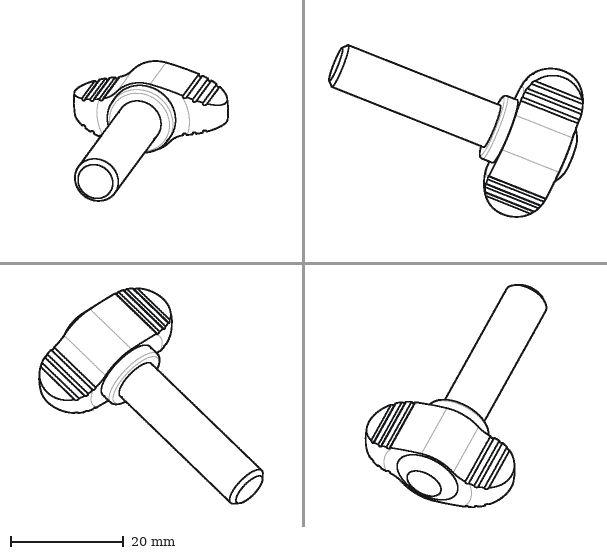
import cadquery as cq
import math


stem_radius = 4.0
stem_length = 30.0
stem_chamfer = 0.8

collar_radius = 6.0
collar_fillet = 0.5
wing_start_y = 2.5
wing_depth = 11.0
wing_end_y = wing_start_y + wing_depth
cap_height = 1.5
cap_base_radius = 5.9
cap_flat_radius = 3.3
cap_arc_bulge = 0.13

tip_radius = 14.0
rim_radius = wing_depth / 2
hub_radius = 6.5
flank_radius = 50.0
flank_start_angle = math.radians(11.0)
tail_angle = math.radians(10.3)
tail_tip_height = 1.55
tail_fillet = 4.5
outline_reach = tip_radius + 1.0

groove_radius = 0.35
groove_count = 3
groove_first_x = 7.67
groove_pitch = 1.73

flank_start = (hub_radius * math.sin(flank_start_angle), hub_radius * math.cos(flank_start_angle))
flank_center_offset = flank_radius - hub_radius
flank_center = (
    -flank_center_offset * math.sin(flank_start_angle),
    -flank_center_offset * math.cos(flank_start_angle),
)


def opposite(point):
    """Turn a point half a revolution about the screw axis."""
    return (-point[0], -point[1])


def flank_point(x):
    """Point of the convex flank above the right wing."""
    return (x, flank_center[1] + math.sqrt(flank_radius**2 - (x - flank_center[0]) ** 2))


def tail_point(x):
    """Point of the straight tail above the left wing."""
    return (x, tail_tip_height + (x + tip_radius) * math.tan(tail_angle))


def arc_middle(center, start, end):
    """Middle of the shorter arc from start to end about center."""
    chord_x = (start[0] + end[0]) / 2 - center[0]
    chord_z = (start[1] + end[1]) / 2 - center[1]
    scale = math.dist(center, start) / math.hypot(chord_x, chord_z)
    return (center[0] + chord_x * scale, center[1] + chord_z * scale)


def tail_fillet_center():
    """Center of the concave arc tangent to both the tail and the hub circle."""
    along = (math.cos(tail_angle), math.sin(tail_angle))
    base_x = -tip_radius - tail_fillet * along[1]
    base_z = tail_tip_height + tail_fillet * along[0]
    projection = base_x * along[0] + base_z * along[1]
    reach = hub_radius + tail_fillet
    distance = -projection - math.sqrt(projection**2 - base_x**2 - base_z**2 + reach**2)
    return (base_x + distance * along[0], base_z + distance * along[1])


def make_wing_prism():
    """Extrude the S-shaped wing outline, made of two equal halves, along the axis."""
    axis = (0.0, 0.0)
    flank_tip = flank_point(outline_reach)
    flank_middle = flank_point((flank_start[0] + outline_reach) / 2)
    fillet_center = tail_fillet_center()
    hub_share = hub_radius / (hub_radius + tail_fillet)
    hub_end = (fillet_center[0] * hub_share, fillet_center[1] * hub_share)
    tail_start = (
        fillet_center[0] + tail_fillet * math.sin(tail_angle),
        fillet_center[1] - tail_fillet * math.cos(tail_angle),
    )
    hub_middle = arc_middle(axis, flank_start, hub_end)
    fillet_middle = arc_middle(fillet_center, hub_end, tail_start)
    tail_tip = tail_point(-outline_reach)

    outline = cq.Workplane("XZ", origin=(0, wing_end_y, 0)).moveTo(*flank_tip)
    for turn in (tuple, opposite):
        outline = (
            outline.threePointArc(turn(flank_middle), turn(flank_start))
            .threePointArc(turn(hub_middle), turn(hub_end))
            .threePointArc(turn(fillet_middle), turn(tail_start))
            .lineTo(*turn(tail_tip))
            .lineTo(*opposite(turn(flank_tip)))
        )
    return outline.close().extrude(wing_depth)


def make_rounded_disc():
    """Disc about the screw axis with a full-round rim, which shapes the wing tips."""
    rim_center_x = tip_radius - rim_radius
    middle_y = wing_start_y + rim_radius
    return (
        cq.Workplane("XY")
        .moveTo(0, wing_start_y)
        .lineTo(rim_center_x, wing_start_y)
        .threePointArc((tip_radius, middle_y), (rim_center_x, wing_end_y))
        .lineTo(0, wing_end_y)
        .close()
        .revolve(360, (0, 0, 0), (0, 1, 0))
    )


def make_grooves():
    """Round cutters along Y, centered on the upper and lower wing surfaces."""
    centers = []
    for index in range(groove_count):
        x = groove_first_x + index * groove_pitch
        for point in (flank_point(x), tail_point(-x)):
            centers += [point, opposite(point)]
    return (
        cq.Workplane("XZ", origin=(0, wing_end_y, 0))
        .pushPoints(centers)
        .circle(groove_radius)
        .extrude(wing_depth)
    )


def make_cap():
    """Domed cap with a flat top, behind the wings."""
    top_y = wing_end_y + cap_height
    slope_length = math.hypot(cap_base_radius - cap_flat_radius, cap_height)
    bulge_x = cap_arc_bulge * cap_height / slope_length
    bulge_y = cap_arc_bulge * (cap_base_radius - cap_flat_radius) / slope_length
    arc_point = ((cap_base_radius + cap_flat_radius) / 2 + bulge_x, wing_end_y + cap_height / 2 + bulge_y)
    return (
        cq.Workplane("XY")
        .moveTo(0, wing_end_y)
        .lineTo(cap_base_radius, wing_end_y)
        .threePointArc(arc_point, (cap_flat_radius, top_y))
        .lineTo(0, top_y)
        .close()
        .revolve(360, (0, 0, 0), (0, 1, 0))
    )


def make_collar():
    """Round collar with a filleted seating edge."""
    collar = cq.Workplane("XZ", origin=(0, wing_start_y, 0)).circle(collar_radius).extrude(wing_start_y)
    return collar.faces("<Y").edges().fillet(collar_fillet)


def make_stem():
    """Plain stem with a chamfered end."""
    stem = cq.Workplane("XZ").circle(stem_radius).extrude(stem_length)
    return stem.faces("<Y").edges().chamfer(stem_chamfer)


wings = make_wing_prism().intersect(make_rounded_disc()).cut(make_grooves())
result = wings.union(make_cap()).union(make_collar()).union(make_stem())